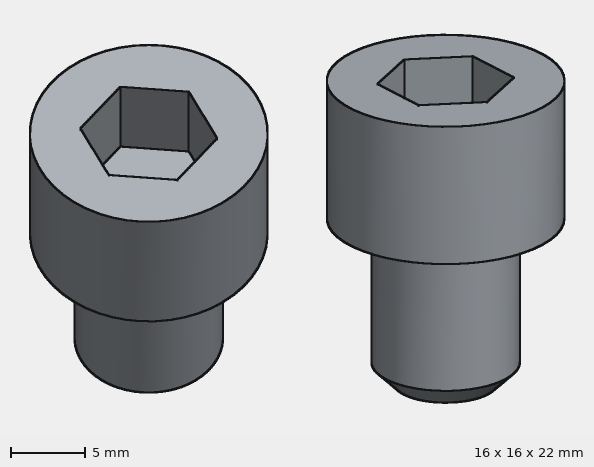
import cadquery as cq

total_length = 22.0
head_diameter = 16.0
head_height = 10.0
shank_diameter = 10.0
tip_chamfer = 1.5
socket_across_flats = 8.0
socket_depth = 6.0
corner_turn = 30.0

shank_length = total_length - head_height


def make_head():
    return cq.Workplane("XY").circle(head_diameter / 2).extrude(head_height)


def make_shank():
    shank = cq.Workplane("XY").circle(shank_diameter / 2).extrude(-shank_length)
    return shank.faces("<Z").chamfer(tip_chamfer)


def make_socket():
    """Hexagonal key socket with two corners on the X axis."""
    return (
        cq.Workplane("XY")
        .workplane(offset=head_height)
        .polygon(6, socket_across_flats, circumscribed=True)
        .extrude(-socket_depth)
        .rotate((0, 0, 0), (0, 0, 1), corner_turn)
    )


result = make_head().union(make_shank()).cut(make_socket())